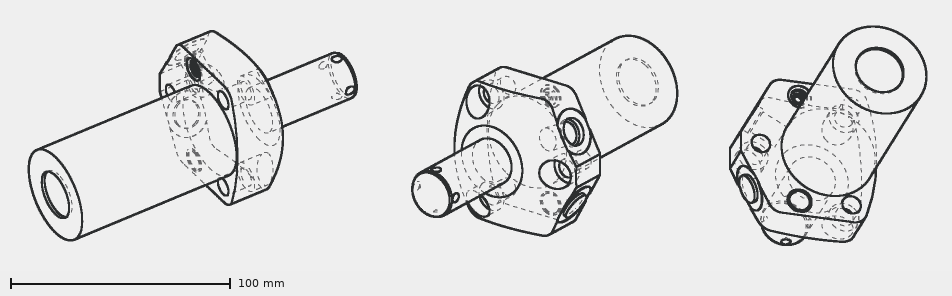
import cadquery as cq
import math

total_length = 157.4
flange_depth = 26.9
rod_length = 46.3
barrel_length = total_length - flange_depth - rod_length
joint_overlap = 1.5

barrel_radius = 22.2
barrel_recess_radius = 11.3
barrel_recess_depth = 1.5
rod_radius = 11.2
rod_chamfer_radial = 0.5
rod_chamfer_axial = 1.1
rod_dimple_radius = 2.4
rod_dimple_depth = 2.4
rod_dimple_setback = 4.0
rod_dimple_overshoot = 0.3

flange_left = -41.4
flange_right = 23.0
flange_half_height = 34.1
nose_half_height = 5.2
flank_angle = math.radians(62.0)
flange_corner_radius = 6.6
flange_right_radius = 94.4

cone_flat_radius = 17.3
cone_angle = math.radians(20.0)

mount_hole_radius = 4.4
mount_counterbore_radius = 7.1
mount_seat_y = 12.6
mount_hole_places = [(-32.0, 0.0), (11.0, 25.3), (11.0, -25.3)]

port_y = 10.4
port_height = 18.3
spotface_radius = 10.7
spotface_depth = 0.3
spotface_clearance = 1.5
port_mouth_radius = 6.5
port_mouth_depth = 3.1
port_bevel_depth = 0.8
port_bore_radius = 5.3
port_bore_depth = 17.0
port_plug_radius = 6.6
port_plug_height = 1.3

valve_x = -13.5
valve_height = 26.7
valve_recess_radius = 5.5
valve_recess_depth = 1.0
seal_mean_radius = 4.7
seal_wire_radius = 0.87
seal_centre_y = 0.4
valve_step_radii = [3.8, 2.5, 1.7]
valve_step_depth = 1.0
plug_groove_outer_radius = 5.7
plug_groove_inner_radius = 4.9
plug_groove_depth = 0.8


def cylinder_y(radius, start_y, end_y, x=0.0, z=0.0):
    """Cylinder along Y between two Y positions."""
    solid = cq.Solid.makeCylinder(radius, end_y - start_y, cq.Vector(x, start_y, z), cq.Vector(0, 1, 0))
    return cq.Workplane(obj=solid)


def make_flange():
    """Flange plate with rounded corners and a conical back."""
    flank_run = (flange_half_height - nose_half_height) / math.tan(flank_angle)
    flank_top_x = flange_left + flank_run
    right_drop = flange_right_radius - math.sqrt(flange_right_radius**2 - flange_half_height**2)
    right_corner_x = flange_right - right_drop
    plate = (
        cq.Workplane("XZ")
        .moveTo(flange_left, -nose_half_height)
        .lineTo(flank_top_x, -flange_half_height)
        .lineTo(right_corner_x, -flange_half_height)
        .threePointArc((flange_right, 0), (right_corner_x, flange_half_height))
        .lineTo(flank_top_x, flange_half_height)
        .lineTo(flange_left, nose_half_height)
        .close()
        .extrude(-flange_depth)
    )
    plate = plate.faces(">Z or <Z").edges("|Y").fillet(flange_corner_radius)

    envelope_radius = 2 * flange_half_height
    cone_drop = (envelope_radius - cone_flat_radius) * math.tan(cone_angle)
    envelope = (
        cq.Workplane("XY")
        .moveTo(0, 0)
        .lineTo(0, flange_depth)
        .lineTo(cone_flat_radius, flange_depth)
        .lineTo(envelope_radius, flange_depth - cone_drop)
        .lineTo(envelope_radius, 0)
        .close()
        .revolve(360, (0, 0, 0), (0, 1, 0))
    )
    return plate.intersect(envelope)


def make_rod():
    """Rod with a bevelled tip and four conical dimples around it."""
    tip_y = flange_depth + rod_length
    rod = (
        cq.Workplane("XY")
        .moveTo(0, flange_depth - joint_overlap)
        .lineTo(rod_radius, flange_depth - joint_overlap)
        .lineTo(rod_radius, tip_y - rod_chamfer_axial)
        .lineTo(rod_radius - rod_chamfer_radial, tip_y)
        .lineTo(0, tip_y)
        .close()
        .revolve(360, (0, 0, 0), (0, 1, 0))
    )
    slope = rod_dimple_radius / rod_dimple_depth
    mouth_radius = rod_dimple_radius + rod_dimple_overshoot * slope
    cone_height = rod_dimple_depth + rod_dimple_overshoot
    for outward in [cq.Vector(1, 0, 0), cq.Vector(-1, 0, 0), cq.Vector(0, 0, 1), cq.Vector(0, 0, -1)]:
        mouth = cq.Vector(0, tip_y - rod_dimple_setback, 0) + outward * (rod_radius + rod_dimple_overshoot)
        dimple = cq.Solid.makeCone(mouth_radius, 0, cone_height, mouth, outward * -1)
        rod = rod.cut(cq.Workplane(obj=dimple))
    return rod


def make_barrel():
    """Barrel with a shallow round recess in its end face."""
    barrel = cylinder_y(barrel_radius, -barrel_length, joint_overlap)
    return barrel.cut(cylinder_y(barrel_recess_radius, -barrel_length, barrel_recess_depth - barrel_length))


def flank_cone(side, inner_radius, outer_radius, inner_depth, outer_height):
    """Cone square to a flank; side is +1 for the upper flank, -1 for the lower."""
    port_x = flange_left + (port_height - nose_half_height) / math.tan(flank_angle)
    outward = cq.Vector(-math.sin(flank_angle), 0, side * math.cos(flank_angle))
    start = cq.Vector(port_x, port_y, side * port_height) - outward * inner_depth
    length = inner_depth + outer_height
    if inner_radius == outer_radius:
        solid = cq.Solid.makeCylinder(inner_radius, length, start, outward)
    else:
        solid = cq.Solid.makeCone(inner_radius, outer_radius, length, start, outward)
    return cq.Workplane(obj=solid)


def flank_cylinder(side, radius, inner_depth, outer_height):
    """Cylinder square to a flank."""
    return flank_cone(side, radius, radius, inner_depth, outer_height)


def cut_mount_holes(body):
    """Through holes, each widened from the back to seat a screw head."""
    for x, z in mount_hole_places:
        body = body.cut(cylinder_y(mount_hole_radius, 0, flange_depth, x, z))
        body = body.cut(cylinder_y(mount_counterbore_radius, mount_seat_y, flange_depth, x, z))
    return body


def add_ports(body):
    """Spotface both flanks, bore the upper port and plug the lower one."""
    for side in [1, -1]:
        body = body.cut(flank_cylinder(side, spotface_radius, spotface_depth, spotface_clearance))
    body = body.cut(flank_cylinder(1, port_mouth_radius, port_mouth_depth, 0))
    bevel_end = port_mouth_depth + port_bevel_depth
    body = body.cut(flank_cone(1, port_bore_radius, port_mouth_radius, bevel_end, -port_mouth_depth))
    body = body.cut(flank_cylinder(1, port_bore_radius, port_bore_depth, 0))
    return body.union(flank_cylinder(-1, port_plug_radius, port_mouth_depth, port_plug_height))


def add_valve(body):
    """Recess with a proud seal ring around a stepped bore."""
    body = body.cut(cylinder_y(valve_recess_radius, 0, valve_recess_depth, valve_x, valve_height))
    step_y = valve_recess_depth
    for radius in valve_step_radii:
        body = body.cut(cylinder_y(radius, step_y, step_y + valve_step_depth, valve_x, valve_height))
        step_y += valve_step_depth
    seal_centre = cq.Vector(valve_x, seal_centre_y, valve_height)
    seal = cq.Solid.makeTorus(seal_mean_radius, seal_wire_radius, seal_centre, cq.Vector(0, 1, 0))
    return body.union(cq.Workplane(obj=seal))


def cut_plug_groove(body):
    """Ring groove that outlines the flush plug below the valve."""
    groove = cylinder_y(plug_groove_outer_radius, 0, plug_groove_depth, valve_x, -valve_height)
    core = cylinder_y(plug_groove_inner_radius, 0, plug_groove_depth, valve_x, -valve_height)
    return body.cut(groove.cut(core))


body = cut_mount_holes(make_flange())
body = add_ports(body)
body = add_valve(body)
body = cut_plug_groove(body)
result = body.union(make_barrel()).union(make_rod())